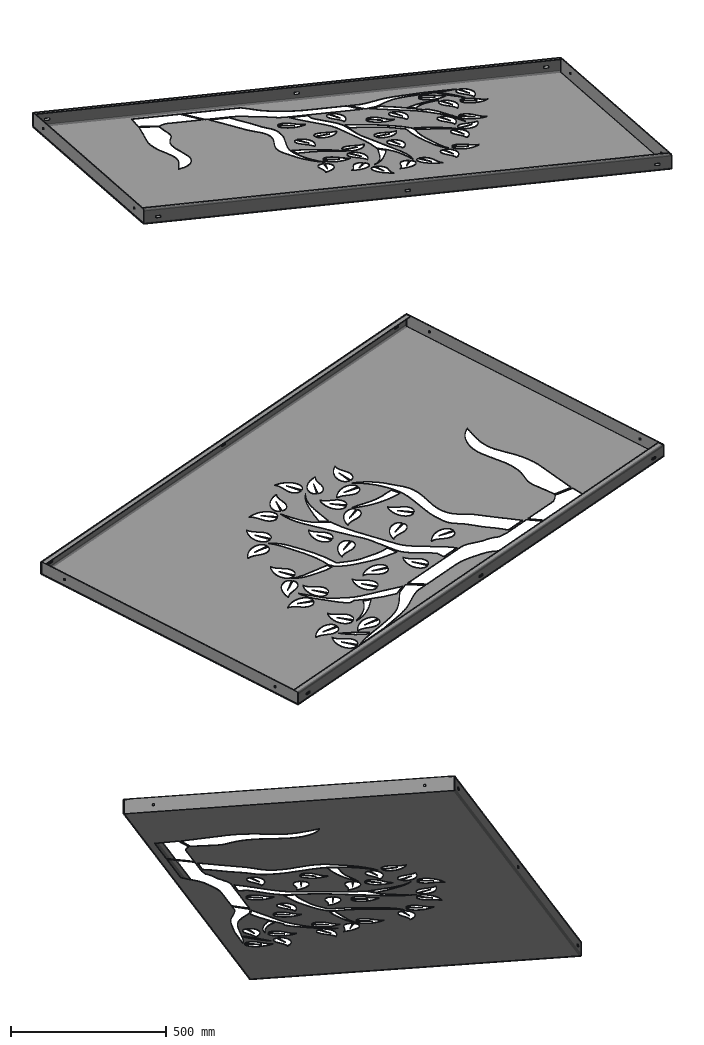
import cadquery as cq

WIDTH = 1100.0
LENGTH = 1800.0
HEIGHT = 50.0

SHEET = 2.0
BEND_RADIUS = 4.5
LIP_WIDTH = 22.0

CUT_DEPTH = 2 * SHEET
CUT_ORIGIN = (-WIDTH / 2, -LENGTH / 2, -SHEET / 2)

END_HOLE_DIAMETER = 7.0
END_HOLE_INSET = 100.0
SIDE_SLOT_WIDTH = 7.0
SIDE_SLOT_LENGTH = 18.0
SIDE_SLOT_INSET = 49.0
END_HOLE_HEIGHT = 25.0
SIDE_SLOT_HEIGHT = 22.0

LEAF_LENGTH = 90.0
LEAF_HALF_WIDTH = 25.0
LEAF_BULGE_AT = 25.0
LEAF_SHOULDER = (7.0, 18.0)
LEAF_TAPER = (61.0, 16.0)
TIP_HOOK = 15.0
VEIN_LENGTH = 54.0
VEIN_HALF_WIDTH = 2.7

CLOCKWISE = -1
COUNTERCLOCKWISE = 1

LEAVES = [
    (72.0, 1427.0, 23, CLOCKWISE),
    (187.0, 1393.0, 73, COUNTERCLOCKWISE),
    (113.0, 1276.0, 76, COUNTERCLOCKWISE),
    (171.0, 1334.0, 25, CLOCKWISE),
    (337.0, 1337.0, 56, COUNTERCLOCKWISE),
    (460.0, 1298.0, 114, COUNTERCLOCKWISE),
    (330.0, 1275.0, 22, CLOCKWISE),
    (475.0, 1273.0, 17, CLOCKWISE),
    (645.0, 1208.0, 78, COUNTERCLOCKWISE),
    (665.0, 1172.0, 17, CLOCKWISE),
    (232.0, 1143.0, 23, CLOCKWISE),
    (275.0, 1042.0, 60, COUNTERCLOCKWISE),
    (187.0, 947.0, 22, CLOCKWISE),
    (460.0, 1010.0, 104, COUNTERCLOCKWISE),
    (513.0, 1042.0, 16, CLOCKWISE),
    (725.0, 1065.0, 32, COUNTERCLOCKWISE),
    (738.0, 1031.0, -30, CLOCKWISE),
    (763.0, 904.0, 14, COUNTERCLOCKWISE),
    (713.0, 884.0, -36, CLOCKWISE),
    (560.0, 865.0, 104, COUNTERCLOCKWISE),
    (600.0, 871.0, 31, CLOCKWISE),
    (635.0, 770.0, 72, COUNTERCLOCKWISE),
    (680.0, 760.0, -8, CLOCKWISE),
    (398.0, 826.0, 103, COUNTERCLOCKWISE),
    (247.0, 750.0, 70, COUNTERCLOCKWISE),
    (410.0, 758.0, 30, CLOCKWISE),
]

ROOT = [
    (133.0, 385.0),
    [
        (185.0, 389.0), (241.0, 389.0), (286.0, 369.0), (350.0, 358.0),
        (412.0, 365.0), (485.0, 370.0), (530.0, 356.0), (581.0, 297.0),
    ],
    [(538.0, 313.0), (493.0, 325.0), (448.0, 325.0), (385.0, 308.0), (305.0, 295.0), (215.0, 306.0), (117.0, 322.0)],
]
STUMP = [
    (29.0, 328.0),
    [(110.0, 322.0)],
    [(128.0, 387.0)],
    [(119.0, 400.0), (110.0, 418.0)],
    [(110.0, 544.0)],
    [(29.0, 493.0)],
]
TRUNK = [
    (29.0, 500.0),
    [(29.0, 700.0)],
    [(52.0, 725.0), (83.0, 760.0), (103.0, 805.0), (117.0, 851.0), (120.0, 884.0)],
    [(120.0, 1028.0)],
    [(171.0, 1065.0)],
    [(171.0, 810.0)],
    [(164.0, 774.0), (142.0, 735.0), (131.0, 705.0), (115.0, 680.0)],
    [(110.0, 648.0)],
    [(110.0, 550.0)],
]
LEFT_BOUGH = [
    (120.0, 1035.0),
    [(120.0, 1076.0)],
    [(103.0, 1127.0), (85.0, 1172.0), (77.0, 1208.0), (72.0, 1245.0), (67.0, 1318.0), (67.0, 1422.0)],
    [(80.0, 1363.0), (85.0, 1300.0), (92.0, 1237.0), (103.0, 1199.0), (130.0, 1154.0), (158.0, 1118.0)],
    [(171.0, 1076.0)],
]
LEFT_TWIG = [
    (83.0, 1355.0),
    [(120.0, 1393.0), (160.0, 1418.0)],
    [(126.0, 1382.0), (88.0, 1348.0)],
]
CROWN_BOUGH = [
    (173.0, 1089.0),
    [(160.0, 1130.0)],
    [(180.0, 1168.0), (203.0, 1205.0), (240.0, 1250.0)],
    [(241.0, 1265.0)],
    [(268.0, 1287.0), (305.0, 1305.0), (350.0, 1327.0), (401.0, 1337.0)],
    [(340.0, 1310.0), (313.0, 1296.0), (277.0, 1264.0), (250.0, 1233.0), (223.0, 1186.0), (200.0, 1140.0), (173.0, 1089.0)],
]
CROWN_TWIG = [
    (202.0, 1210.0),
    [(216.0, 1233.0)],
    [(185.0, 1264.0), (171.0, 1292.0), (162.0, 1328.0)],
    [(165.0, 1282.0), (180.0, 1245.0), (202.0, 1210.0)],
]
MIDDLE_BOUGH = [
    (178.0, 814.0),
    [(178.0, 878.0)],
    [(207.0, 878.0)],
    [
        (250.0, 913.0), (305.0, 949.0), (340.0, 955.0), (385.0, 961.0), (430.0, 968.0),
        (485.0, 986.0), (594.0, 1022.0), (648.0, 1040.0), (729.0, 1045.0),
    ],
    [(666.0, 1031.0), (630.0, 1017.0), (608.0, 1003.0), (580.0, 974.0)],
    [(493.0, 963.0), (448.0, 952.0), (376.0, 932.0), (331.0, 922.0), (268.0, 882.0), (178.0, 814.0)],
]
MIDDLE_TWIG = [
    (587.0, 974.0),
    [(608.0, 995.0)],
    [(630.0, 986.0), (666.0, 968.0), (705.0, 945.0), (742.0, 909.0)],
    [(693.0, 945.0), (648.0, 960.0), (587.0, 974.0)],
]
UPRIGHT_BOUGH = [
    (310.0, 958.0),
    [(320.0, 997.0), (333.0, 1033.0), (351.0, 1067.0), (369.0, 1100.0), (412.0, 1150.0)],
    [(434.0, 1155.0)],
    [(520.0, 1157.0), (565.0, 1166.0), (612.0, 1177.0), (653.0, 1193.0)],
    [(612.0, 1165.0), (565.0, 1150.0), (520.0, 1140.0), (418.0, 1130.0)],
    [(395.0, 1100.0), (376.0, 1071.0), (364.0, 1037.0), (353.0, 1003.0), (347.0, 961.0)],
]
UPRIGHT_TWIG = [
    (414.0, 1157.0),
    [(418.0, 1183.0), (430.0, 1222.0), (441.0, 1250.0), (472.0, 1290.0)],
    [(452.0, 1245.0), (443.0, 1208.0), (432.0, 1161.0)],
]
LOWER_BOUGH = [
    (117.0, 562.0),
    [(117.0, 632.0)],
    [
        (148.0, 646.0), (196.0, 675.0), (250.0, 702.0), (286.0, 725.0), (322.0, 730.0),
        (376.0, 727.0), (511.0, 702.0), (565.0, 711.0), (666.0, 767.0),
    ],
    [
        (594.0, 702.0), (547.0, 680.0), (511.0, 668.0), (475.0, 666.0), (358.0, 691.0),
        (313.0, 682.0), (268.0, 648.0), (223.0, 621.0), (117.0, 562.0),
    ],
]
LOWER_TWIG = [
    (513.0, 707.0),
    [(517.0, 738.0), (525.0, 774.0), (542.0, 815.0), (578.0, 870.0)],
    [(565.0, 830.0), (553.0, 795.0), (547.0, 765.0), (545.0, 713.0)],
]

BRANCHES = [
    ROOT,
    STUMP,
    TRUNK,
    LEFT_BOUGH,
    LEFT_TWIG,
    CROWN_BOUGH,
    CROWN_TWIG,
    MIDDLE_BOUGH,
    MIDDLE_TWIG,
    UPRIGHT_BOUGH,
    UPRIGHT_TWIG,
    LOWER_BOUGH,
    LOWER_TWIG,
]


def folded_sheet():
    """Base with two side walls, each folded inward again into a lip along its top."""
    outer = cq.Workplane("XY").box(WIDTH, LENGTH, HEIGHT).edges("|Y").fillet(BEND_RADIUS)
    hollow = cq.Workplane("XY").box(WIDTH - 2 * SHEET, LENGTH, HEIGHT - 2 * SHEET)
    hollow = hollow.edges("|Y").fillet(BEND_RADIUS - SHEET)
    mouth = cq.Workplane("XY").rect(WIDTH - 2 * LIP_WIDTH, LENGTH).extrude(HEIGHT)
    return outer.cut(hollow).cut(mouth).translate((0, 0, HEIGHT / 2))


def end_walls():
    """Plain walls standing on the base at the front and back, between the side bends."""
    y = (LENGTH - SHEET) / 2
    places = cq.Workplane("XY").pushPoints([(0, -y), (0, y)])
    return places.box(WIDTH - 2 * BEND_RADIUS, SHEET, HEIGHT, centered=(True, True, False))


def end_holes():
    """Round holes near both ends of the front and back walls."""
    x = WIDTH / 2 - END_HOLE_INSET
    holes = cq.Workplane("XZ").pushPoints([(-x, END_HOLE_HEIGHT), (x, END_HOLE_HEIGHT)])
    return holes.circle(END_HOLE_DIAMETER / 2).extrude(LENGTH, both=True)


def side_slots():
    """Lengthwise slots near both ends and at the middle of the side walls."""
    y = LENGTH / 2 - SIDE_SLOT_INSET
    slots = cq.Workplane("YZ").pushPoints([(place, SIDE_SLOT_HEIGHT) for place in (-y, 0, y)])
    return slots.slot2D(SIDE_SLOT_LENGTH, SIDE_SLOT_WIDTH).extrude(WIDTH, both=True)


def leaf_cutter(stem_x, stem_y, direction, bend):
    """Pointed leaf split at its stem end by the vein."""
    shoulder_x, shoulder_y = LEAF_SHOULDER
    taper_x, taper_y = LEAF_TAPER
    tip = (LEAF_LENGTH, bend * TIP_HOOK)
    left_edge = [(shoulder_x, shoulder_y), (LEAF_BULGE_AT, LEAF_HALF_WIDTH), (taper_x, taper_y), tip]
    right_edge = [(taper_x, -taper_y), (LEAF_BULGE_AT, -LEAF_HALF_WIDTH), (shoulder_x, -shoulder_y)]
    outline = (
        cq.Workplane("XY")
        .moveTo(VEIN_LENGTH, 0)
        .lineTo(0, VEIN_HALF_WIDTH)
        .spline(left_edge, includeCurrent=True)
        .spline(right_edge + [(0, -VEIN_HALF_WIDTH)], includeCurrent=True)
        .close()
    )
    leaf = outline.extrude(CUT_DEPTH).rotate((0, 0, 0), (0, 0, 1), direction)
    return leaf.translate((stem_x, stem_y, 0)).translate(CUT_ORIGIN)


def branch_cutter(start, *stretches):
    """Closed branch outline, cut down through the base."""
    outline = cq.Workplane("XY").moveTo(*start)
    for stretch in stretches:
        if len(stretch) == 1:
            outline = outline.lineTo(*stretch[0])
        else:
            outline = outline.spline(stretch, includeCurrent=True)
    return outline.close().extrude(CUT_DEPTH).translate(CUT_ORIGIN)


result = folded_sheet().union(end_walls())
result = result.cut(end_holes()).cut(side_slots())
for branch in BRANCHES:
    result = result.cut(branch_cutter(*branch))
for leaf in LEAVES:
    result = result.cut(leaf_cutter(*leaf))